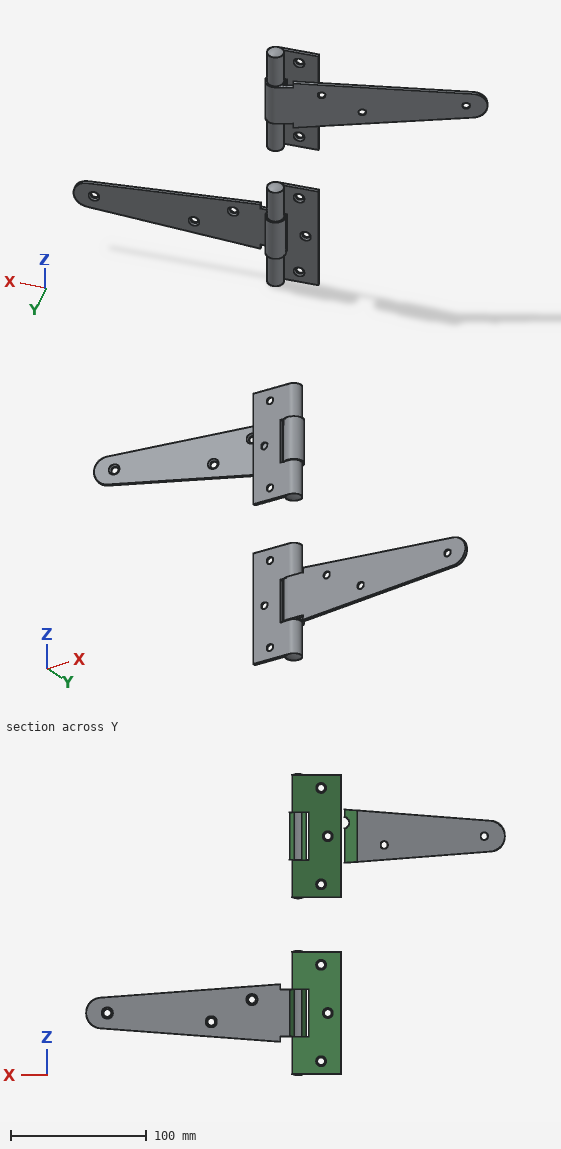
import cadquery as cq
import math


HINGE_SPACING = 130.0
FOLDED_ANGLE = 195.7
SHEET_THICKNESS = 2.62

PIN_RADIUS = 3.7
PIN_HEAD_RADIUS = 6.2
PIN_HEAD_HEIGHT = 2.0

LEAF_HEIGHT = 90.0
LEAF_WIDTH = 31.7
LEAF_CURL_RADIUS = PIN_RADIUS + SHEET_THICKNESS
LEAF_END_HOLE_X = -17.0
LEAF_END_HOLE_Z = 35.5
LEAF_MIDDLE_HOLE_X = -22.0

STRAP_CURL_RADIUS = 7.7
STRAP_LENGTH = 156.0
NECK_HEIGHT = 34.8
SHOULDER_X = 13.0
SHOULDER_HEIGHT = 42.5
TIP_RADIUS = 11.5
STRAP_HOLES = [(34.0, 10.0), (63.8, -6.5), (140.2, 0)]

HOLE_DIAMETER = 5.5
COUNTERSINK_DIAMETER = 8.3
COUNTERSINK_ANGLE = 90


def cylinder(radius, height):
    """Upright cylinder about the pin axis, centred on Z = 0."""
    return cq.Workplane("XY").circle(radius).extrude(height / 2, both=True)


def drill_screw_holes(body, places, bore_radius):
    """Screw holes at the (X, Z) places, countersunk from the flat face level with the bore."""
    flat_face = cq.Plane(origin=(0, -bore_radius, 0), xDir=(1, 0, 0), normal=(0, 1, 0))
    return (
        body.copyWorkplane(cq.Workplane(flat_face))
        .pushPoints([(x, -z) for x, z in places])
        .cskHole(HOLE_DIAMETER, COUNTERSINK_DIAMETER, COUNTERSINK_ANGLE, depth=SHEET_THICKNESS)
    )


def make_pin():
    """Shaft with a shallow spherical dome at each end, as one turned profile."""
    half_length = LEAF_HEIGHT / 2
    tip_z = half_length + PIN_HEAD_HEIGHT
    dome_radius = (PIN_HEAD_RADIUS**2 + PIN_HEAD_HEIGHT**2) / (2 * PIN_HEAD_HEIGHT)
    half_angle = math.asin(PIN_HEAD_RADIUS / dome_radius) / 2
    arc_x = dome_radius * math.sin(half_angle)
    arc_z = tip_z - dome_radius * (1 - math.cos(half_angle))
    return (
        cq.Workplane("XZ")
        .moveTo(0, -tip_z)
        .threePointArc((arc_x, -arc_z), (PIN_HEAD_RADIUS, -half_length))
        .lineTo(PIN_RADIUS, -half_length)
        .lineTo(PIN_RADIUS, half_length)
        .lineTo(PIN_HEAD_RADIUS, half_length)
        .threePointArc((arc_x, arc_z), (0, tip_z))
        .close()
        .revolve(360, (0, 0), (0, 1))
    )


def make_leaf():
    """Plate tangent to its two knuckles, which leave a gap for the strap's knuckle."""
    plate = cq.Workplane("XY").box(LEAF_WIDTH, SHEET_THICKNESS, LEAF_HEIGHT, centered=(False, False, True))
    plate = plate.translate((-LEAF_WIDTH, -LEAF_CURL_RADIUS, 0))
    leaf = plate.union(cylinder(LEAF_CURL_RADIUS, LEAF_HEIGHT))
    leaf = leaf.cut(cylinder(PIN_RADIUS, LEAF_HEIGHT))

    gap_width = 2 * STRAP_CURL_RADIUS
    leaf = leaf.cut(cq.Workplane("XY").box(gap_width, gap_width, NECK_HEIGHT))

    holes = [
        (LEAF_END_HOLE_X, LEAF_END_HOLE_Z),
        (LEAF_MIDDLE_HOLE_X, 0),
        (LEAF_END_HOLE_X, -LEAF_END_HOLE_Z),
    ]
    return drill_screw_holes(leaf, holes, PIN_RADIUS)


def make_blade():
    """Flat part of the strap, with its tapered sides tangent to the round tip."""
    tip_x = STRAP_LENGTH - TIP_RADIUS
    neck = NECK_HEIGHT / 2
    shoulder = SHOULDER_HEIGHT / 2

    run = tip_x - SHOULDER_X
    corner_distance = math.hypot(run, shoulder)
    tangent_angle = math.pi - math.atan2(shoulder, run) - math.acos(TIP_RADIUS / corner_distance)
    tangent_x = tip_x + TIP_RADIUS * math.cos(tangent_angle)
    tangent_z = TIP_RADIUS * math.sin(tangent_angle)

    return (
        cq.Workplane("XZ", origin=(0, -STRAP_CURL_RADIUS, 0))
        .moveTo(0, -neck)
        .lineTo(SHOULDER_X, -neck)
        .lineTo(SHOULDER_X, -shoulder)
        .lineTo(tangent_x, -tangent_z)
        .threePointArc((STRAP_LENGTH, 0), (tangent_x, tangent_z))
        .lineTo(SHOULDER_X, shoulder)
        .lineTo(SHOULDER_X, neck)
        .lineTo(0, neck)
        .close()
        .extrude(-SHEET_THICKNESS)
    )


def make_strap():
    """Blade with a knuckle that turns loosely around the pin."""
    inner_radius = STRAP_CURL_RADIUS - SHEET_THICKNESS
    strap = make_blade().union(cylinder(STRAP_CURL_RADIUS, NECK_HEIGHT))
    strap = strap.cut(cylinder(inner_radius, NECK_HEIGHT))
    return drill_screw_holes(strap, STRAP_HOLES, inner_radius)


leaves = []
straps = []
pins = []
for hinge_z, strap_turn in [(0, 0), (HINGE_SPACING, FOLDED_ANGLE)]:
    position = (0, 0, hinge_z)
    turned_strap = make_strap().rotate((0, 0, 0), (0, 0, 1), strap_turn)
    leaves.append(make_leaf().translate(position).val())
    straps.append(turned_strap.translate(position).val())
    pins.append(make_pin().translate(position).val())

result = cq.Compound.makeCompound([*leaves, *straps, *pins])